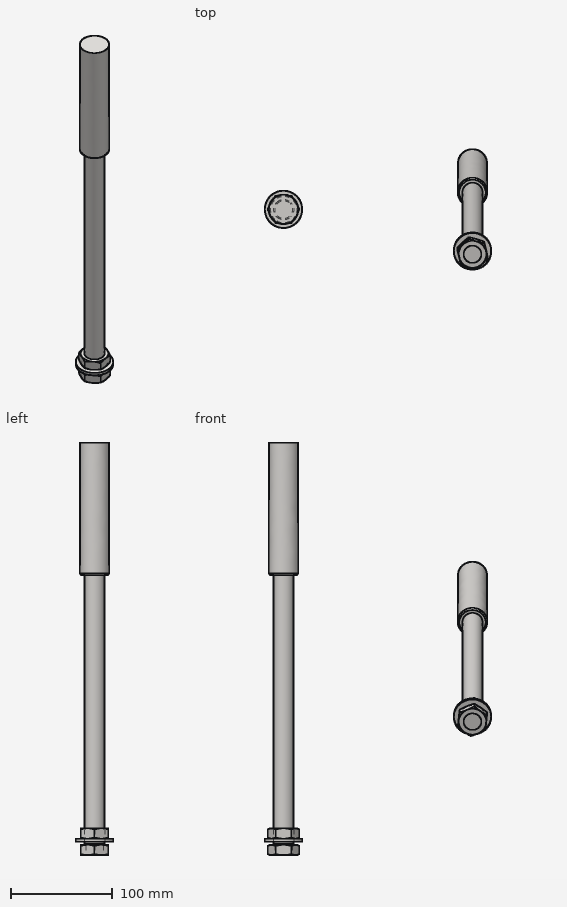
import cadquery as cq
import math

total_length = 406.0
rod_diameter = 20.0
stud_diameter = 17.5
sleeve_top_diameter = 29.0
sleeve_bottom_diameter = 29.2
sleeve_length = 130.5
sleeve_chamfer = 1.5

nut_across_flats = 27.0
nut_height = 10.0
nut_corner_angle = 30.0
washer_diameter = 37.0
washer_thickness = 3.2
washer_gap = 3.0

nut_corner_diameter = nut_across_flats / math.cos(math.radians(30))
taper_height = (rod_diameter - stud_diameter) / 2
washer_bottom = nut_height + washer_gap
nut_seats = [
    (0.0, stud_diameter),
    (washer_bottom + washer_thickness, rod_diameter),
]


def make_anchor():
    """Turned rod that tapers at 45 degrees to a stud just above the lower nut, plus its sleeve."""
    rod = (
        cq.Workplane("XZ")
        .moveTo(0, 0)
        .lineTo(stud_diameter / 2, 0)
        .lineTo(stud_diameter / 2, nut_height)
        .lineTo(rod_diameter / 2, nut_height + taper_height)
        .lineTo(rod_diameter / 2, total_length)
        .lineTo(0, total_length)
        .close()
        .revolve(360, (0, 0, 0), (0, 1, 0))
    )
    sleeve_bottom = total_length - sleeve_length
    sleeve = (
        cq.Workplane("XY", origin=(0, 0, sleeve_bottom))
        .circle(sleeve_bottom_diameter / 2)
        .workplane(offset=sleeve_length)
        .circle(sleeve_top_diameter / 2)
        .loft(ruled=True)
        .faces("<Z")
        .chamfer(sleeve_chamfer)
    )
    return rod.union(sleeve)


def make_nut(bottom, bore_diameter):
    """Hexagon nut with its corners bevelled at both ends by a turned envelope."""
    flat_radius = nut_across_flats / 2
    corner_radius = nut_corner_diameter / 2
    bevel_height = (corner_radius - flat_radius) * math.tan(math.radians(nut_corner_angle))
    hexagon = cq.Workplane("XY").polygon(6, nut_corner_diameter).extrude(nut_height)
    envelope = (
        cq.Workplane("XZ")
        .moveTo(0, 0)
        .lineTo(flat_radius, 0)
        .lineTo(corner_radius, bevel_height)
        .lineTo(corner_radius, nut_height - bevel_height)
        .lineTo(flat_radius, nut_height)
        .lineTo(0, nut_height)
        .close()
        .revolve(360, (0, 0, 0), (0, 1, 0))
    )
    bore = cq.Workplane("XY").circle(bore_diameter / 2).extrude(nut_height)
    return hexagon.intersect(envelope).cut(bore).translate((0, 0, bottom))


def make_washer():
    return (
        cq.Workplane("XY", origin=(0, 0, washer_bottom))
        .circle(washer_diameter / 2)
        .circle(rod_diameter / 2)
        .extrude(washer_thickness)
    )


anchor = make_anchor()
washer = make_washer()
nuts = [make_nut(bottom, bore_diameter) for bottom, bore_diameter in nut_seats]

result = cq.Compound.makeCompound([anchor.val(), washer.val(), *[nut.val() for nut in nuts]])